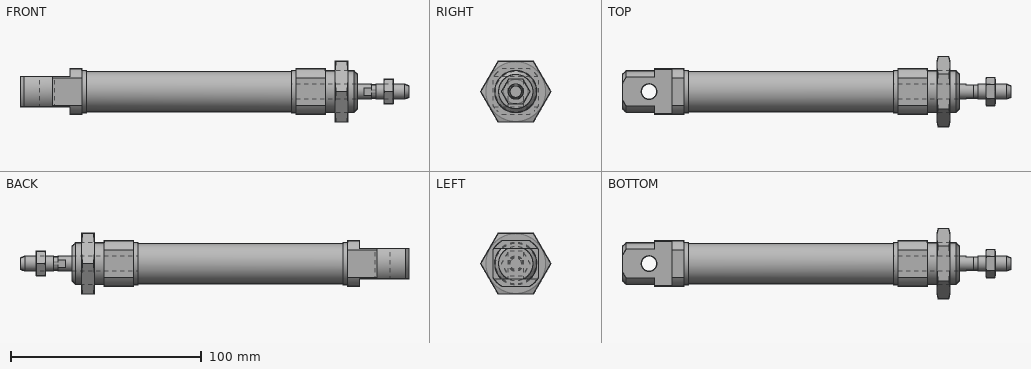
import cadquery as cq
import math


eye_hole_x = 14.0
rear_block_start = 16.8
eye_flat_end = 26.0
rear_block_end = 32.3
tube_start = 34.6
tube_end = 142.4
front_block_start = 144.6
front_block_end = 160.0
front_neck_end = 177.0
overall_length = 204.0

cap_round_diameter = 22.0
cap_chamfer = 2.0
block_width = 24.0
block_corner_diameter = 28.0
collar_diameter = 22.3
eye_thickness = 16.0
eye_hole_diameter = 8.0

tube_diameter = 21.3

mounting_nut_start = 165.0
mounting_nut_height = 7.0
mounting_nut_width = 32.0

rod_diameter = 8.0
rod_flat_width = 7.0
rod_flat_start = 180.4
undercut_start = 184.2
undercut_end = 186.6
undercut_diameter = 7.2
rod_tip_length = 2.5
rod_tip_diameter = 6.0

lock_nut_start = 190.7
lock_nut_height = 5.0
lock_nut_width = 13.0

nut_bevel_angle = 15.0
nut_face_ratio = 0.98


def cylinder(start, end, diameter):
    """Round bar on the X axis from start to end."""
    return cq.Workplane("YZ", origin=(start, 0, 0)).circle(diameter / 2).extrude(end - start)


def square_block(start, end):
    """Square block with its long corners turned down to a larger circle."""
    block = cq.Workplane("YZ", origin=(start, 0, 0)).rect(block_width, block_width).extrude(end - start)
    return block.intersect(cylinder(start, end, block_corner_diameter))


def make_rear_cap():
    """Rear cap with a flattened eye, a cross hole and a collar against the tube."""
    eye = cylinder(0, rear_block_end, cap_round_diameter).faces("<X").chamfer(cap_chamfer)
    cap = eye.union(square_block(rear_block_start, rear_block_end))
    for side in (1, -1):
        relief = cq.Workplane("XY").box(
            eye_flat_end, block_corner_diameter, block_width, centered=(False, True, True)
        )
        cap = cap.cut(relief.translate((0, 0, side * (eye_thickness + block_width) / 2)))
    hole = cq.Workplane("XY").center(eye_hole_x, 0).circle(eye_hole_diameter / 2)
    cap = cap.cut(hole.extrude(eye_thickness, both=True))
    return cap.union(cylinder(rear_block_end, tube_start, collar_diameter))


def make_tube():
    """Plain barrel between the two caps."""
    return cylinder(tube_start, tube_end, tube_diameter)


def make_front_cap():
    """Front cap with a collar, a square block, a threaded neck and a bore for the rod."""
    neck = cylinder(front_block_start, front_neck_end, cap_round_diameter).faces(">X").chamfer(cap_chamfer)
    cap = neck.union(square_block(front_block_start, front_block_end))
    cap = cap.union(cylinder(tube_end, front_block_start, collar_diameter))
    return cap.cut(cylinder(tube_end, front_neck_end, rod_diameter))


def make_hex_nut(start, height, width, bore_diameter):
    """Hexagon nut with flats facing up and down and bevelled corners on both faces."""
    corner_radius = width / math.sqrt(3)
    face_radius = nut_face_ratio * width / 2
    bevel = (corner_radius - face_radius) * math.tan(math.radians(nut_bevel_angle))
    hexagon = cq.Workplane("YZ", origin=(start, 0, 0)).polygon(6, 2 * corner_radius).extrude(height)
    envelope = (
        cq.Workplane("XZ")
        .polyline([
            (start, 0),
            (start, face_radius),
            (start + bevel, corner_radius),
            (start + height - bevel, corner_radius),
            (start + height, face_radius),
            (start + height, 0),
        ])
        .close()
        .revolve(360, (0, 0, 0), (1, 0, 0))
    )
    return hexagon.intersect(envelope).cut(cylinder(start, start + height, bore_diameter))


def make_rod():
    """Piston rod with two wrench flats, a thread undercut and a tapered thread tip."""
    rod_radius = rod_diameter / 2
    undercut_radius = undercut_diameter / 2
    rod = (
        cq.Workplane("XZ")
        .polyline([
            (tube_end, 0),
            (tube_end, rod_radius),
            (undercut_start, rod_radius),
            (undercut_start, undercut_radius),
            (undercut_end, undercut_radius),
            (undercut_end, rod_radius),
            (overall_length - rod_tip_length, rod_radius),
            (overall_length, rod_tip_diameter / 2),
            (overall_length, 0),
        ])
        .close()
        .revolve(360, (0, 0, 0), (1, 0, 0))
    )
    flat_length = undercut_end - rod_flat_start
    for side in (1, -1):
        flat = cq.Workplane("XY").box(flat_length, rod_diameter, rod_diameter, centered=(False, True, True))
        rod = rod.cut(flat.translate((rod_flat_start, side * (rod_flat_width + rod_diameter) / 2, 0)))
    return rod


rear_cap = make_rear_cap()
tube = make_tube()
front_cap = make_front_cap()
mounting_nut = make_hex_nut(mounting_nut_start, mounting_nut_height, mounting_nut_width, cap_round_diameter)
rod = make_rod()
lock_nut = make_hex_nut(lock_nut_start, lock_nut_height, lock_nut_width, rod_diameter)

result = cq.Compound.makeCompound([
    rear_cap.val(),
    tube.val(),
    front_cap.val(),
    mounting_nut.val(),
    rod.val(),
    lock_nut.val(),
])